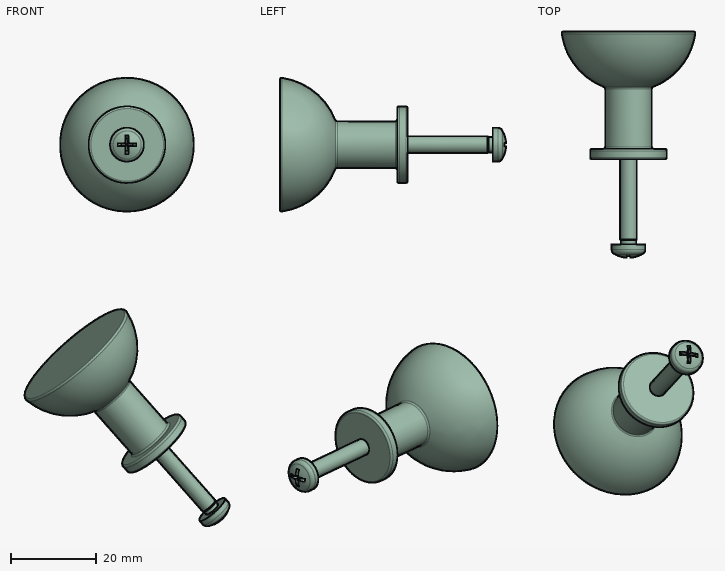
import cadquery as cq
import math


knob_length = 30.0
flange_diameter = 18.0
flange_radius = flange_diameter / 2
flange_thickness = 2.5
edge_round = 0.5
pick_margin = 0.05
neck_diameter = 11.0
neck_radius = neck_diameter / 2
bowl_radius = 15.85
rim_radius = 15.7
rim_round_start = knob_length - edge_round
bowl_center_y = rim_round_start + math.sqrt(bowl_radius**2 - rim_radius**2)
neck_top = bowl_center_y - math.sqrt(bowl_radius**2 - neck_radius**2)

overall_length = 53.05
crown_loss = 0.025
shaft_diameter = 4.0
shaft_radius = shaft_diameter / 2
groove_radius = 1.85
thread_engagement = 5.1
shaft_end_y = -18.7
groove_taper = 0.25
head_seat_y = -19.9
head_radius = 4.0
head_side_height = 1.15
corner_height = 1.1
dome_radius_at_corner = 3.3
head_tip_y = knob_length - overall_length - crown_loss
dome_height = head_seat_y - head_side_height - corner_height - head_tip_y
corner_bulge = 0.185

recess_half_span = 2.25
recess_rim_depth = 0.35
recess_floor_half_span = 1.4
recess_floor_depth = 1.5
recess_center_depth = 2.1
recess_mouth_width = 0.8
recess_bottom_width = 0.4


def revolve_about_y(profile):
    return profile.close().revolve(360, (0, 0, 0), (0, 1, 0))


def make_knob():
    """Flange, neck and spherical bowl, with a blind hole for the screw."""
    middle_angle = (math.acos(rim_radius / bowl_radius) + math.acos(neck_radius / bowl_radius)) / 2
    bowl_middle = (
        bowl_radius * math.cos(middle_angle),
        bowl_center_y - bowl_radius * math.sin(middle_angle),
    )
    round_inset = edge_round * (1 - math.sqrt(0.5))
    profile = (
        cq.Workplane("XY")
        .moveTo(0, 0)
        .lineTo(flange_radius, 0)
        .lineTo(flange_radius, flange_thickness)
        .lineTo(neck_radius, flange_thickness)
        .lineTo(neck_radius, neck_top)
        .threePointArc(bowl_middle, (rim_radius, rim_round_start))
        .threePointArc(
            (rim_radius - round_inset, knob_length - round_inset),
            (rim_radius - edge_round, knob_length),
        )
        .lineTo(0, knob_length)
    )
    knob = revolve_about_y(profile)

    rounded_circles = [
        (flange_radius, 0),
        (flange_radius, flange_thickness),
        (neck_radius, flange_thickness),
        (neck_radius, neck_top),
    ]
    for radius, y in rounded_circles:
        nearby = cq.selectors.BoxSelector(
            (-radius - edge_round, y - pick_margin, -radius - edge_round),
            (radius + edge_round, y + pick_margin, radius + edge_round),
            boundingbox=True,
        )
        circle = knob.edges("%CIRCLE").edges(nearby).edges(cq.selectors.RadiusNthSelector(-1))
        knob = circle.fillet(edge_round)

    screw_hole = cq.Workplane("XZ").circle(shaft_radius).extrude(-thread_engagement)
    return knob.cut(screw_hole)


def make_cross_recess():
    """Two crossed slots with steep ends, sloping floors and converging walls."""
    rim_y = head_tip_y + recess_rim_depth
    floor_y = head_tip_y + recess_floor_depth
    center_y = head_tip_y + recess_center_depth
    side_shape = (
        cq.Workplane("XY")
        .moveTo(-recess_half_span, head_tip_y)
        .lineTo(recess_half_span, head_tip_y)
        .lineTo(recess_half_span, rim_y)
        .lineTo(recess_floor_half_span, floor_y)
        .lineTo(0, center_y)
        .lineTo(-recess_floor_half_span, floor_y)
        .lineTo(-recess_half_span, rim_y)
        .close()
        .extrude(recess_mouth_width, both=True)
    )
    wall_wedge = (
        cq.Workplane("YZ")
        .moveTo(head_tip_y, -recess_mouth_width / 2)
        .lineTo(center_y, -recess_bottom_width / 2)
        .lineTo(center_y, recess_bottom_width / 2)
        .lineTo(head_tip_y, recess_mouth_width / 2)
        .close()
        .extrude(recess_half_span, both=True)
    )
    slot = side_shape.intersect(wall_wedge)
    return slot.union(slot.rotate((0, 0, 0), (0, 1, 0), 90))


def make_screw():
    """Pan-head screw with a relief groove under the head."""
    side_end_y = head_seat_y - head_side_height
    corner_y = side_end_y - corner_height
    corner_middle = (
        (head_radius + dome_radius_at_corner) / 2 + corner_bulge,
        (side_end_y + corner_y) / 2 - corner_bulge / 2,
    )
    dome_radius = (dome_radius_at_corner**2 + dome_height**2) / (2 * dome_height)
    dome_middle_x = dome_radius_at_corner / 2
    dome_middle_y = head_tip_y + dome_radius - math.sqrt(dome_radius**2 - dome_middle_x**2)
    profile = (
        cq.Workplane("XY")
        .moveTo(0, thread_engagement)
        .lineTo(shaft_radius, thread_engagement)
        .lineTo(shaft_radius, shaft_end_y)
        .lineTo(groove_radius, shaft_end_y - groove_taper)
        .lineTo(groove_radius, head_seat_y)
        .lineTo(head_radius, head_seat_y)
        .lineTo(head_radius, side_end_y)
        .threePointArc(corner_middle, (dome_radius_at_corner, corner_y))
        .threePointArc((dome_middle_x, dome_middle_y), (0, head_tip_y))
    )
    return revolve_about_y(profile).cut(make_cross_recess())


knob = make_knob()
screw = make_screw()
result = cq.Compound.makeCompound([knob.val(), screw.val()])